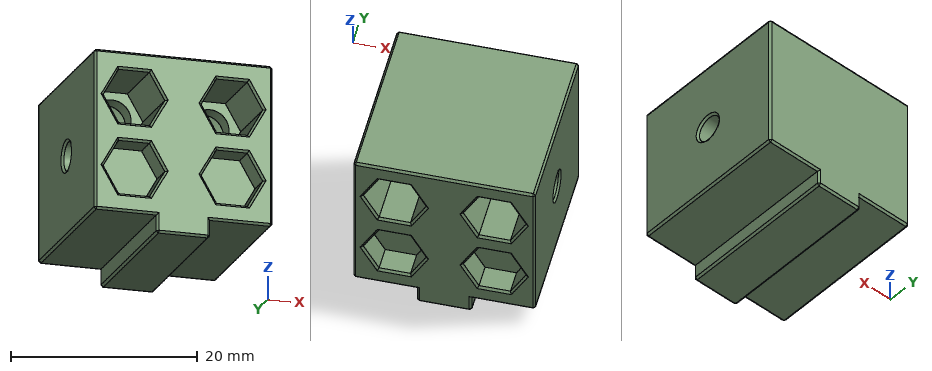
import cadquery as cq
import math

SIDE = 20.0
TENON_HEIGHT = 2.0
TENON_WIDTH = 6.0

HEX_SIDES = 6
HEX_FLATS = 6.0
HEX_MOUTH_FLATS = 6.5
EDGE_BREAK = (HEX_MOUTH_FLATS - HEX_FLATS) / 2
COLUMN_OFFSET = 5.5
LOWER_ROW_Z = 7.0
UPPER_ROW_Z = 15.0
LOWER_DEPTH = 3.0
UPPER_DEPTH = 8.0

DRILL_DIAMETER = 4.3
DRILL_DEPTH = 2.0
DRILL_POINT_ANGLE = 118.0

CROSS_DIAMETER = 3.2
CROSS_Y = SIDE / 2
CROSS_Z = (SIDE + TENON_HEIGHT) / 2


def is_inner_corner(edge):
    """True for the two edges where the tenon meets the underside."""
    center = edge.Center()
    on_underside = math.isclose(center.z, TENON_HEIGHT)
    on_tenon_wall = math.isclose(abs(center.x - SIDE / 2), TENON_WIDTH / 2)
    return on_underside and on_tenon_wall and math.isclose(center.y, SIDE / 2)


def make_body():
    body = cq.Workplane().box(SIDE, SIDE, SIDE - TENON_HEIGHT, centered=False)
    body = body.translate((0, 0, TENON_HEIGHT))
    tenon = cq.Workplane().box(TENON_WIDTH, SIDE, TENON_HEIGHT, centered=False)
    body = body.union(tenon.translate(((SIDE - TENON_WIDTH) / 2, 0, 0)))
    outer_edges = [e for e in body.edges().vals() if not is_inner_corner(e)]
    return body.newObject(outer_edges).chamfer(EDGE_BREAK)


def front_plane(x, y, z):
    """Workplane facing into the block (+Y) from the given point."""
    return cq.Workplane(cq.Plane(origin=(x, y, z), xDir=(1, 0, 0), normal=(0, 1, 0)))


def hex_pocket(x, z, depth):
    corners_per_flats = 1 / math.cos(math.pi / HEX_SIDES)
    pocket = front_plane(x, 0, z).polygon(HEX_SIDES, HEX_FLATS * corners_per_flats).extrude(depth)
    mouth = (
        front_plane(x, 0, z)
        .polygon(HEX_SIDES, HEX_MOUTH_FLATS * corners_per_flats)
        .workplane(offset=EDGE_BREAK)
        .polygon(HEX_SIDES, HEX_FLATS * corners_per_flats)
        .loft(ruled=True)
    )
    return pocket.union(mouth)


def drilled_recess(x, z):
    radius = DRILL_DIAMETER / 2
    point_length = radius / math.tan(math.radians(DRILL_POINT_ANGLE / 2))
    profile = (
        cq.Workplane("XY", origin=(x, UPPER_DEPTH, z))
        .lineTo(radius, 0)
        .lineTo(radius, DRILL_DEPTH)
        .lineTo(0, DRILL_DEPTH + point_length)
        .close()
    )
    return profile.revolve(360, (0, 0, 0), (0, 1, 0))


def cross_hole():
    radius = CROSS_DIAMETER / 2
    mouth_radius = radius + EDGE_BREAK
    profile = (
        cq.Workplane("XY", origin=(0, CROSS_Y, CROSS_Z))
        .lineTo(0, mouth_radius)
        .lineTo(EDGE_BREAK, radius)
        .lineTo(SIDE - EDGE_BREAK, radius)
        .lineTo(SIDE, mouth_radius)
        .lineTo(SIDE, 0)
        .close()
    )
    return profile.revolve(360, (0, 0, 0), (1, 0, 0))


result = make_body().cut(cross_hole())
for column_x in (SIDE / 2 - COLUMN_OFFSET, SIDE / 2 + COLUMN_OFFSET):
    result = result.cut(hex_pocket(column_x, LOWER_ROW_Z, LOWER_DEPTH))
    result = result.cut(hex_pocket(column_x, UPPER_ROW_Z, UPPER_DEPTH))
    result = result.cut(drilled_recess(column_x, UPPER_ROW_Z))